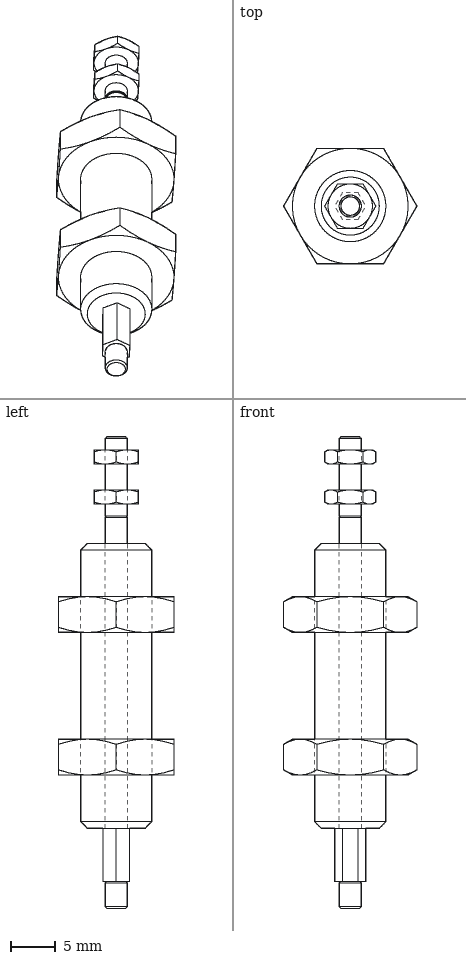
import cadquery as cq
import math

total_length = 53.0
top_z = total_length / 2
bottom_z = -total_length / 2

barrel_diameter = 8.0
barrel_length = 32.0
barrel_chamfer = 0.75
rod_top_projection = 12.0
barrel_top_z = top_z - rod_top_projection
barrel_bottom_z = barrel_top_z - barrel_length

rod_diameter = 2.5
rod_end_chamfer = 0.2
collar_across_flats = 3.0
collar_length = 6.0
relief_depth = 0.1
relief_width = 0.15
upper_thread_length = 8.9

large_nut_across_flats = 13.0
large_nut_height = 4.05
large_nut_distance_from_barrel_end = 6.0

small_nut_across_flats = 5.0
small_nut_height = 1.6
small_nut_distance_from_top = 1.5
small_nut_pitch = 4.5

nut_chamfer_angle = 30.0
envelope_margin = 0.25


def across_corners(across_flats):
    """Corner-to-corner size of a regular hexagon."""
    return across_flats / math.cos(math.radians(30))


def hexagonal_prism(across_flats, height, base_z):
    """Upright hexagonal prism with two corners on the X axis."""
    return (
        cq.Workplane("XY", origin=(0, 0, base_z))
        .polygon(6, across_corners(across_flats))
        .extrude(height)
    )


def make_nut(across_flats, height, bore_diameter, base_z):
    """Hexagonal nut whose corners are turned off by a cone at both ends."""
    flat_radius = across_flats / 2
    corner_radius = across_corners(across_flats) / 2
    envelope_radius = corner_radius + envelope_margin
    edge_drop = (envelope_radius - flat_radius) * math.tan(math.radians(nut_chamfer_angle))
    turned_envelope = (
        cq.Workplane("XZ", origin=(0, 0, base_z))
        .moveTo(0, 0)
        .lineTo(flat_radius, 0)
        .lineTo(envelope_radius, edge_drop)
        .lineTo(envelope_radius, height - edge_drop)
        .lineTo(flat_radius, height)
        .lineTo(0, height)
        .close()
        .revolve(360, (0, 0, 0), (0, 1, 0))
    )
    bore = cq.Workplane("XY", origin=(0, 0, base_z)).circle(bore_diameter / 2).extrude(height)
    return hexagonal_prism(across_flats, height, base_z).intersect(turned_envelope).cut(bore)


def make_barrel():
    """Cylinder with chamfered ends and a through bore for the rod."""
    return (
        cq.Workplane("XY", origin=(0, 0, barrel_bottom_z))
        .circle(barrel_diameter / 2)
        .extrude(barrel_length)
        .faces("<Z or >Z")
        .chamfer(barrel_chamfer)
        .faces(">Z")
        .workplane()
        .hole(rod_diameter)
    )


def make_relief(wide_z, narrow_z):
    """Ring to cut from the rod surface, tapering from no depth at wide_z to full depth at narrow_z."""
    surface_radius = rod_diameter / 2
    return (
        cq.Workplane("XZ")
        .moveTo(surface_radius, wide_z)
        .lineTo(surface_radius - relief_depth, narrow_z)
        .lineTo(surface_radius, narrow_z)
        .close()
        .revolve(360, (0, 0, 0), (0, 1, 0))
    )


def make_rod():
    """Shaft over the full length, with two shallow reliefs and a hexagonal collar against the barrel."""
    shaft = (
        cq.Workplane("XY", origin=(0, 0, bottom_z))
        .circle(rod_diameter / 2)
        .extrude(total_length)
        .faces("<Z or >Z")
        .chamfer(rod_end_chamfer)
    )
    collar_bottom_z = barrel_bottom_z - collar_length
    collar = hexagonal_prism(collar_across_flats, collar_length, collar_bottom_z)
    thread_end_z = top_z - upper_thread_length
    thread_relief = make_relief(thread_end_z, thread_end_z - relief_width)
    stub_relief = make_relief(collar_bottom_z - relief_width, collar_bottom_z)
    return shaft.union(collar).cut(thread_relief).cut(stub_relief)


barrel = make_barrel()
rod = make_rod()

upper_large_nut_z = barrel_top_z - large_nut_distance_from_barrel_end - large_nut_height
lower_large_nut_z = barrel_bottom_z + large_nut_distance_from_barrel_end
large_nuts = [
    make_nut(large_nut_across_flats, large_nut_height, barrel_diameter, base_z)
    for base_z in (upper_large_nut_z, lower_large_nut_z)
]

first_small_nut_z = top_z - small_nut_distance_from_top - small_nut_height
small_nuts = [
    make_nut(small_nut_across_flats, small_nut_height, rod_diameter, base_z)
    for base_z in (first_small_nut_z, first_small_nut_z - small_nut_pitch)
]

result = cq.Compound.makeCompound(
    [barrel.val(), rod.val()]
    + [nut.val() for nut in large_nuts]
    + [nut.val() for nut in small_nuts]
)